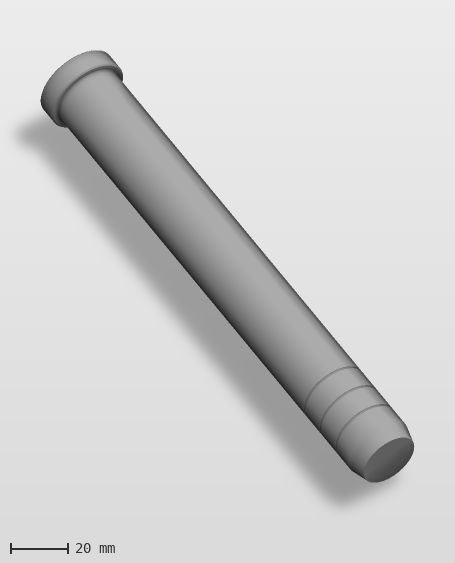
import cadquery as cq
import math

length = 200.0
head_radius = 30.0 / 2
head_length = 8.0
head_chamfer = 0.5
shank_radius = 25.0 / 2
underhead_fillet = 0.5

groove_radius = 0.5
groove_pitch = 10.0
groove_count = 3
last_groove_to_end = 15.0

tip_length = 7.0
tip_angle = 15.0
tip_radius = shank_radius - tip_length * math.tan(math.radians(tip_angle))


def turned_pin():
    """Chamfered head, shank with a filleted root, and a conical lead-in tip."""
    root_start = (head_length, shank_radius + underhead_fillet)
    root_end = (head_length + underhead_fillet, shank_radius)
    return (
        cq.Workplane("XY")
        .lineTo(0, head_radius - head_chamfer)
        .lineTo(head_chamfer, head_radius)
        .lineTo(head_length - head_chamfer, head_radius)
        .lineTo(head_length, head_radius - head_chamfer)
        .lineTo(*root_start)
        .radiusArc(root_end, -underhead_fillet)
        .lineTo(length - tip_length, shank_radius)
        .lineTo(length, tip_radius)
        .lineTo(length, 0)
        .close()
        .revolve(360, (0, 0, 0), (1, 0, 0))
    )


def groove_ring(center):
    """Torus centred on the shank surface at X = center; its inner half cuts the groove."""
    return (
        cq.Workplane("XY")
        .center(center, shank_radius)
        .circle(groove_radius)
        .revolve(360, (0, -shank_radius, 0), (1, -shank_radius, 0))
    )


result = turned_pin()
for index in range(groove_count):
    groove_center = length - last_groove_to_end - index * groove_pitch
    result = result.cut(groove_ring(groove_center))